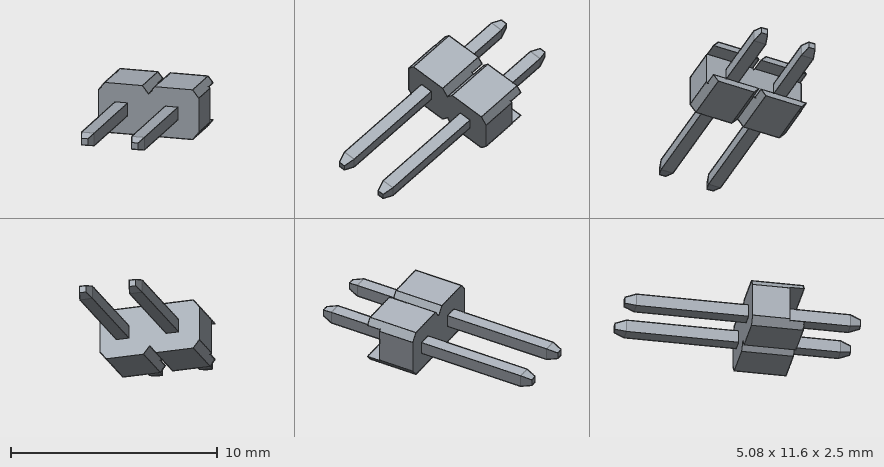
import cadquery as cq

overall_length = 11.6
body_width = 5.08
body_height = 2.5
body_length = 2.55

cell_count = 2
cell_width = body_width / cell_count
corner_width = 0.31
corner_height = 0.4

lip_thickness = 0.32
recess_depth = 0.71

pin_width = 0.64
pin_tip_width = 0.34
pin_tip_length = 0.53
pin_offset = -0.1
front_pin_length = 6.05

pin_front_y = -overall_length / 2
pin_back_y = overall_length / 2
body_front_y = pin_front_y + front_pin_length
body_back_y = body_front_y + body_length
cell_centers = [(i - (cell_count - 1) / 2) * cell_width for i in range(cell_count)]


def section_at(y):
    """XZ workplane at the given Y, with its normal toward -Y."""
    return cq.Workplane("XZ", origin=(0, y, 0))


def make_cell(center_x):
    """One chamfered housing cell."""
    half_width = cell_width / 2
    half_height = body_height / 2
    flat_x = half_width - corner_width
    side_z = half_height - corner_height
    outline = [
        (-flat_x, -half_height),
        (flat_x, -half_height),
        (half_width, -side_z),
        (half_width, side_z),
        (flat_x, half_height),
        (-flat_x, half_height),
        (-half_width, side_z),
        (-half_width, -side_z),
    ]
    cell = section_at(body_back_y).polyline(outline).close().extrude(body_length)
    return cell.translate((center_x, 0, 0))


def make_pin(center_x):
    """One pin with a tapered tip at each end."""
    shaft_back_y = pin_back_y - pin_tip_length
    shaft_length = overall_length - 2 * pin_tip_length
    shaft = section_at(shaft_back_y).rect(pin_width, pin_width).extrude(shaft_length)
    front_tip = (
        section_at(shaft_back_y - shaft_length)
        .rect(pin_width, pin_width)
        .workplane(offset=pin_tip_length)
        .rect(pin_tip_width, pin_tip_width)
        .loft()
    )
    back_tip = front_tip.mirror("XZ")
    return shaft.union(front_tip).union(back_tip).translate((center_x, 0, 0))


housing = make_cell(cell_centers[0])
for center_x in cell_centers[1:]:
    housing = housing.union(make_cell(center_x))

recess_height = body_height - 2 * lip_thickness
recess = section_at(body_back_y).rect(body_width, recess_height).extrude(recess_depth)
housing = housing.cut(recess)

result = housing
for center_x in cell_centers:
    result = result.union(make_pin(center_x + pin_offset))